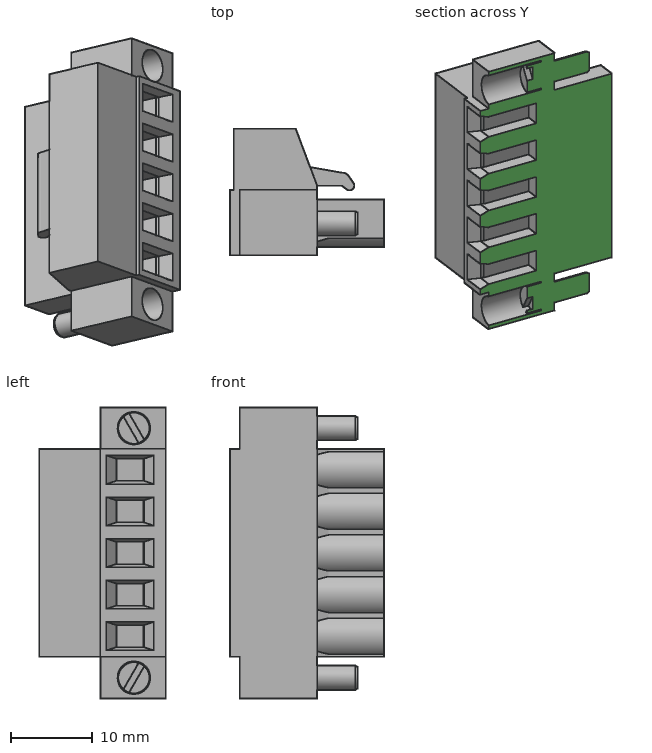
import cadquery as cq


POLES = 5
PITCH = 5.08
FLANGE_WIDTH = PITCH
ROW_LENGTH = POLES * PITCH
TOTAL_LENGTH = ROW_LENGTH + 2 * FLANGE_WIDTH
ROW_START = FLANGE_WIDTH
MID_Z = TOTAL_LENGTH / 2

TOTAL_DEPTH = 18.85
TOTAL_HEIGHT = 15.5
ENTRY_LEDGE = 1.2
BODY_BACK = 10.67
FLANGE_HEIGHT = 8.0
UPPER_FRONT = 0.45
UPPER_TOP_BACK = 8.05
SLOPE_FOOT_Y = 8.5

PLUG_TOP_Y = 6.85
PLUG_BOTTOM_Y = 1.0
WEB_Y = 2.1
WEB_ROOT_Y = 1.7
WEB_RAMP_LENGTH = 1.4
SLEEVE_WIDTH = 4.4

ENTRY_MID_Y = 4.38
ENTRY_SIZE_Y = 5.8
ENTRY_SIZE_Z = 3.5
ENTRY_INNER_Y = 3.4
ENTRY_INNER_Z = 2.7
FUNNEL_DEPTH = 1.2
THROAT_LENGTH = 0.4
CLAMP_STEP = 0.1
ENTRY_DEPTH = 8.0

SCREW_Y = 3.92
SCREW_HOLE_DIAMETER = 4.0
SCREW_HOLE_DEPTH = 7.5
HEAD_DIAMETER = 3.8
HEAD_HEIGHT = 2.0
SLOT_WIDTH = 0.8
SLOT_DEPTH = 0.8
SLOT_ANGLE = 30.0
SHANK_DIAMETER = 3.0
SHANK_TIP_DIAMETER = 2.6
SHANK_END = 15.65
SHANK_CHAMFER_LENGTH = 0.36

LATCH_WIDTH = 2 * PITCH
LATCH_ROOT_X = 9.0
LATCH_TOP_START = (9.81, 10.8)
LATCH_BEND = (13.66, 10.12)
LATCH_BEND_MID = (14.12, 10.03)
LATCH_BEND_END = (14.5, 9.73)
LATCH_NOSE_START = (15.1, 8.87)
LATCH_NOSE_MID = (15.13, 8.23)
LATCH_NOSE_END = (14.38, 7.98)
LATCH_UNDERSIDE_END = (13.66, SLOPE_FOOT_Y)


def pole_centres():
    return [ROW_START + (i + 0.5) * PITCH for i in range(POLES)]


def box(x0, x1, y0, y1, z0, z1):
    corner = cq.Vector(x0, y0, z0)
    return cq.Workplane(cq.Solid.makeBox(x1 - x0, y1 - y0, z1 - z0, corner))


def rod(diameter, x0, x1, y, z):
    start = cq.Vector(x0, y, z)
    along_x = cq.Vector(1, 0, 0)
    return cq.Workplane(cq.Solid.makeCylinder(diameter / 2, x1 - x0, start, along_x))


def make_housing():
    flanged_body = box(ENTRY_LEDGE, BODY_BACK, 0, FLANGE_HEIGHT, 0, TOTAL_LENGTH)
    row_profile = [
        (0, 0),
        (BODY_BACK, 0),
        (BODY_BACK, SLOPE_FOOT_Y),
        (UPPER_TOP_BACK, TOTAL_HEIGHT),
        (UPPER_FRONT, TOTAL_HEIGHT),
        (UPPER_FRONT, FLANGE_HEIGHT),
        (0, FLANGE_HEIGHT),
    ]
    row = cq.Workplane("XY", origin=(0, 0, ROW_START)).polyline(row_profile).close().extrude(ROW_LENGTH)
    return flanged_body.union(row)


def make_plug():
    web_profile = [
        (BODY_BACK, WEB_ROOT_Y),
        (BODY_BACK + WEB_RAMP_LENGTH, WEB_Y),
        (TOTAL_DEPTH, WEB_Y),
        (TOTAL_DEPTH, PLUG_TOP_Y),
        (BODY_BACK, PLUG_TOP_Y),
    ]
    plug = cq.Workplane("XY", origin=(0, 0, ROW_START)).polyline(web_profile).close().extrude(ROW_LENGTH)
    bulge = WEB_Y - PLUG_BOTTOM_Y
    half_chord = SLEEVE_WIDTH / 2
    radius = (half_chord**2 + bulge**2) / (2 * bulge)
    sleeve_y = PLUG_BOTTOM_Y + radius
    for z in pole_centres():
        sleeve = rod(2 * radius, BODY_BACK, TOTAL_DEPTH, sleeve_y, z)
        lower_half = box(BODY_BACK, TOTAL_DEPTH, PLUG_BOTTOM_Y, sleeve_y, z - PITCH / 2, z + PITCH / 2)
        plug = plug.union(sleeve.intersect(lower_half))
    return plug


def make_latch():
    return (
        cq.Workplane("XY", origin=(0, 0, MID_Z - LATCH_WIDTH / 2))
        .moveTo(LATCH_ROOT_X, SLOPE_FOOT_Y)
        .lineTo(LATCH_ROOT_X, LATCH_TOP_START[1])
        .lineTo(*LATCH_TOP_START)
        .lineTo(*LATCH_BEND)
        .threePointArc(LATCH_BEND_MID, LATCH_BEND_END)
        .lineTo(*LATCH_NOSE_START)
        .threePointArc(LATCH_NOSE_MID, LATCH_NOSE_END)
        .lineTo(*LATCH_UNDERSIDE_END)
        .close()
        .extrude(LATCH_WIDTH)
    )


def make_wire_entry(z):
    funnel = (
        cq.Workplane("YZ", origin=(0, ENTRY_MID_Y, z))
        .rect(ENTRY_SIZE_Y, ENTRY_SIZE_Z)
        .workplane(offset=FUNNEL_DEPTH)
        .rect(ENTRY_INNER_Y, ENTRY_INNER_Z)
        .loft(ruled=True)
    )
    throat = (
        cq.Workplane("YZ", origin=(FUNNEL_DEPTH, ENTRY_MID_Y, z))
        .rect(ENTRY_INNER_Y, ENTRY_INNER_Z)
        .extrude(THROAT_LENGTH)
    )
    clamp_x = FUNNEL_DEPTH + THROAT_LENGTH
    clamp_chamber = (
        cq.Workplane("YZ", origin=(clamp_x, ENTRY_MID_Y, z))
        .rect(ENTRY_INNER_Y - 2 * CLAMP_STEP, ENTRY_INNER_Z)
        .extrude(ENTRY_DEPTH - clamp_x)
    )
    return funnel.union(throat).union(clamp_chamber)


def make_screw(z, slot_angle):
    seat_x = ENTRY_LEDGE + SCREW_HOLE_DEPTH
    head_x = seat_x - HEAD_HEIGHT
    head = rod(HEAD_DIAMETER, head_x, seat_x, SCREW_Y, z)
    slot = (
        cq.Workplane("YZ", origin=(head_x, SCREW_Y, z))
        .transformed(rotate=(0, 0, slot_angle))
        .rect(SLOT_WIDTH, SCREW_HOLE_DIAMETER)
        .extrude(SLOT_DEPTH)
    )
    tip_inset = (SHANK_DIAMETER - SHANK_TIP_DIAMETER) / 2
    shank = rod(SHANK_DIAMETER, seat_x, SHANK_END, SCREW_Y, z)
    shank = shank.faces(">X").chamfer(SHANK_CHAMFER_LENGTH, tip_inset)
    return head.cut(slot).union(shank)


def make_part():
    part = make_housing().union(make_plug()).union(make_latch())
    for z in pole_centres():
        part = part.cut(make_wire_entry(z))
    screws = [
        (FLANGE_WIDTH / 2, SLOT_ANGLE),
        (TOTAL_LENGTH - FLANGE_WIDTH / 2, -SLOT_ANGLE),
    ]
    for z, slot_angle in screws:
        hole_end = ENTRY_LEDGE + SCREW_HOLE_DEPTH
        part = part.cut(rod(SCREW_HOLE_DIAMETER, ENTRY_LEDGE, hole_end, SCREW_Y, z))
        part = part.union(make_screw(z, slot_angle))
    return part


result = make_part()